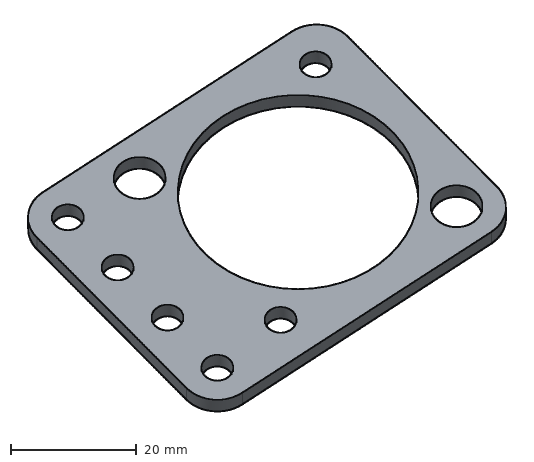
import cadquery as cq
import math

width = 50.8
length = 63.5
thickness = 3.2
corner_radius = 6.35

opening_diameter = 38.35
opening_y = 6.35
hole_circle_radius = 25.4
small_hole_diameter = 5.1
large_hole_diameter = 8.25

row_count = 4
row_pitch = (width - 2 * corner_radius) / (row_count - 1)
row_y = -length / 2 + corner_radius


def cut_holes(body, points, diameter):
    """Cut through holes of one diameter at the given XY points."""
    return body.faces(">Z").workplane(origin=(0, 0, 0)).pushPoints(points).hole(diameter)


plate = cq.Workplane("XY").box(width, length, thickness)
plate = plate.edges("|Z").fillet(corner_radius)

offset = hole_circle_radius * math.cos(math.radians(45))
small_points = [(-offset, opening_y + offset), (offset, opening_y - offset)]
large_points = [(offset, opening_y + offset), (-offset, opening_y - offset)]
row_points = [((i - (row_count - 1) / 2) * row_pitch, row_y) for i in range(row_count)]

plate = cut_holes(plate, [(0, opening_y)], opening_diameter)
plate = cut_holes(plate, small_points + row_points, small_hole_diameter)
plate = cut_holes(plate, large_points, large_hole_diameter)

result = plate